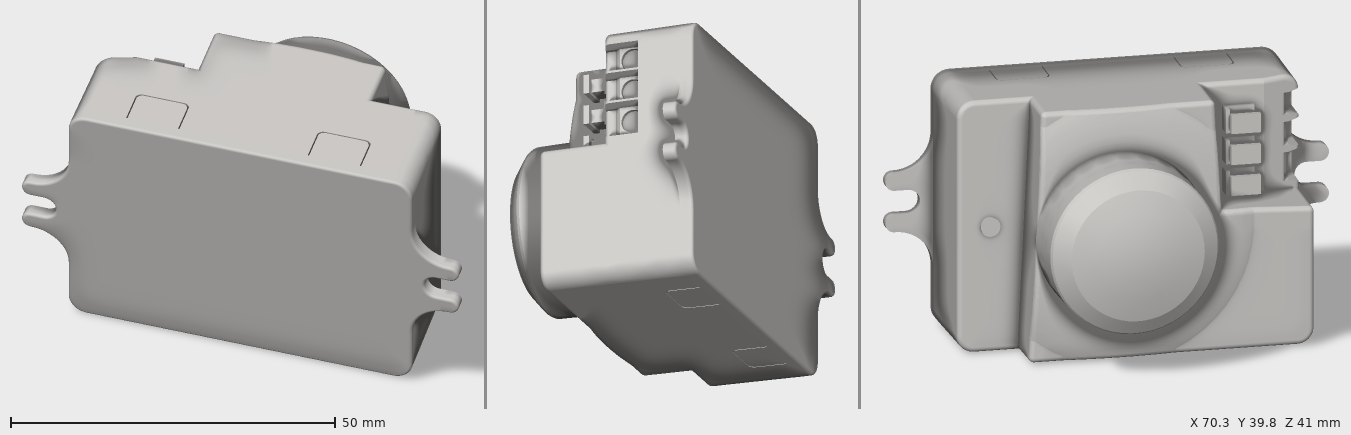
import cadquery as cq
import math


overall_width = 70.3
body_width = 55.25
body_height = 41.0
corner_radius = 2.95
base_thickness = 2.1
base_edge_round = 0.5
flare_radius = 5.9
prong_radius = 1.4
slot_height = 3.9
slot_depth = 5.5

tab_width = 8.15
tab_top = 7.8
tab_offset = 14.6
tab_corner_radius = 1.0
tab_depth = 1.4
tab_gap = 0.2

housing_draft = 0.9
rim_round = 0.85
sharp_angle = 40.0
probe_distance = 0.035
crown_top = 26.6
crown_flat_radius = 14.75
crown_mid_radius = 18.6
crown_mid_y = 26.15
crown_rim_radius = 21.3
crown_rim_y = 25.45

lens_x = 3.65
lens_base_radius = 13.5
lens_radius = 13.35
lens_wall_top = 35.35
lens_shoulder = 35.85
lens_shoulder_radius = 13.1
lens_cap_radius = 10.55
lens_cap_y = 37.9
lens_top = 39.8

side_slant = 2.8
notch_wall_x = -12.45
notch_floor_z = 2.7
notch_seat_y = 16.45
ramp_start_x = -21.45
ramp_drop = 2.05
step_wall_x = 16.95
step_y = 17.4

terminal_pitch = 5.0
terminal_count = 3
terminal_first_z = 4.7
bracket_right_x = -14.75
bracket_thickness = 0.6
bracket_top = 19.05
bracket_height = 3.8
foot_left_x = -19.7
foot_top = 17.5
stem_left_x = -18.8
stem_top = 20.0
stem_height = 2.1
head_left_x = -19.9
head_width = 4.7
head_top = 20.9
head_height = 3.0
opening_floor_y = 9.0
opening_floor_rise = 0.4
opening_ledge_y = 12.7
opening_ledge_rise = 0.85
opening_ledge = 0.7
opening_back_x = -25.0
opening_round = 0.7
opening_flare = 0.4
opening_spans = [(3.2, 7.9), (9.0, 12.8), (13.9, 17.5)]
wire_hole_radius = 1.8
wire_hole_y = 10.6
wire_hole_rise = 0.8
wire_hole_depth = 0.6

indicator_x = 22.3
indicator_radius = 1.55
indicator_top = 18.0

half_width = body_width / 2
half_height = body_height / 2
slot_half_height = slot_height / 2
ramp_angle = math.atan2(ramp_drop, half_width + ramp_start_x)
FACE_UP = cq.Plane(origin=(0, 0, 0), xDir=(-1, 0, 0), normal=(0, 1, 0))
beyond = 42.2


def block(x0, x1, y0, y1, z0, z1):
    """Box between the given limits."""
    return cq.Workplane("XY").box(x1 - x0, y1 - y0, z1 - z0, centered=False).translate((x0, y0, z0))


def mounting_ear():
    """The -X ear: a forked flange that flares out of the side of the plate."""
    tip_x = overall_width / 2
    prong_z = slot_half_height + prong_radius
    ear_half = prong_z + prong_radius
    flare_x = half_width + flare_radius
    flare_z = ear_half + flare_radius
    flare_mid = flare_radius * math.sqrt(0.5)
    return (
        cq.Workplane(FACE_UP)
        .moveTo(half_width - corner_radius, -flare_z)
        .lineTo(half_width, -flare_z)
        .threePointArc((flare_x - flare_mid, -flare_z + flare_mid), (flare_x, -ear_half))
        .lineTo(tip_x - prong_radius, -ear_half)
        .threePointArc((tip_x, -prong_z), (tip_x - prong_radius, -slot_half_height))
        .lineTo(tip_x - slot_depth + slot_half_height, -slot_half_height)
        .threePointArc((tip_x - slot_depth, 0), (tip_x - slot_depth + slot_half_height, slot_half_height))
        .lineTo(tip_x - prong_radius, slot_half_height)
        .threePointArc((tip_x, prong_z), (tip_x - prong_radius, ear_half))
        .lineTo(flare_x, ear_half)
        .threePointArc((flare_x - flare_mid, flare_z - flare_mid), (half_width, flare_z))
        .lineTo(half_width - corner_radius, flare_z)
        .close()
        .extrude(base_thickness)
    )


def housing_blank():
    """Drafted block with rounded corners, before its crown and cutouts."""
    outline = cq.Sketch().rect(body_width, body_height).vertices().fillet(corner_radius)
    return (
        cq.Workplane(FACE_UP)
        .workplane(offset=base_thickness)
        .placeSketch(outline)
        .extrude(crown_top - base_thickness, taper=housing_draft)
    )


def tab_prisms(clearance):
    """Four round-topped prisms at the +Z and -Z sides, grown by the clearance."""
    prisms = cq.Workplane("XY")
    depth = tab_depth + clearance
    width = tab_width + 2 * clearance
    top = tab_top + clearance
    for side in (-1, 1):
        for offset in (-tab_offset, tab_offset):
            z_mid = side * half_height
            prisms = prisms.add(
                block(-width / 2, width / 2, base_thickness, top, -depth, depth)
                .edges("|Z and >Y")
                .fillet(tab_corner_radius)
                .translate((offset, 0, z_mid))
            )
    return prisms.combine()


def make_base(blank):
    """Plate with two forked ears and the four snap tabs, flush with the housing sides."""
    outline = cq.Sketch().rect(body_width, body_height).vertices().fillet(corner_radius)
    plate = cq.Workplane(FACE_UP).placeSketch(outline).extrude(base_thickness)
    ear = mounting_ear()
    plate = plate.union(ear).union(ear.mirror("YZ"))
    plate = plate.faces("<Y").edges().fillet(base_edge_round)
    return plate.union(blank.intersect(tab_prisms(0)))


def crown_envelope():
    """Revolved envelope: a flat seat for the lens that falls away to a lower rim."""
    return (
        cq.Workplane("XY")
        .lineTo(beyond, 0)
        .lineTo(beyond, crown_rim_y)
        .lineTo(crown_rim_radius, crown_rim_y)
        .threePointArc((crown_mid_radius, crown_mid_y), (crown_flat_radius, crown_top))
        .lineTo(0, crown_top)
        .close()
        .revolve(360, (0, 0, 0), (0, 1, 0))
        .translate((lens_x, 0, 0))
    )


def notch_cutter():
    """Upper -X corner: slanted walls in plan, and a seat that ends in a ramp down to the side."""
    slant = math.tan(math.radians(side_slant))
    ramp_slope = math.tan(ramp_angle)
    plan = (
        cq.Workplane(FACE_UP)
        .moveTo(-notch_wall_x, notch_floor_z)
        .lineTo(beyond, notch_floor_z - (beyond + notch_wall_x) * slant)
        .lineTo(beyond, beyond)
        .lineTo(-notch_wall_x - (beyond - notch_floor_z) * slant, beyond)
        .close()
        .extrude(beyond)
    )
    profile = (
        cq.Workplane("XY")
        .moveTo(0, beyond)
        .lineTo(0, notch_seat_y)
        .lineTo(ramp_start_x, notch_seat_y)
        .lineTo(-beyond, notch_seat_y - (beyond + ramp_start_x) * ramp_slope)
        .lineTo(-beyond, beyond)
        .close()
        .extrude(beyond, both=True)
    )
    return plan.intersect(profile)


def step_cutter():
    """+X side step with a slanted wall, open to +Y."""
    slant = math.tan(math.radians(side_slant))
    return (
        cq.Workplane(FACE_UP)
        .workplane(offset=step_y)
        .moveTo(-step_wall_x - beyond * slant, -beyond)
        .lineTo(-step_wall_x + beyond * slant, beyond)
        .lineTo(-beyond, beyond)
        .lineTo(-beyond, -beyond)
        .close()
        .extrude(beyond)
    )


def opening_cutter(z_low, z_high):
    """Wire opening: a flared pocket in the -X side with a sloped ledge, running out through the ramp."""
    front_x = opening_back_x - opening_ledge
    round_x = opening_back_x + opening_round
    ramp_y = notch_seat_y - (ramp_start_x - round_x) * math.tan(ramp_angle)
    round_y = ramp_y - opening_round / math.cos(ramp_angle)
    profile = (
        cq.Workplane("XY")
        .moveTo(-beyond, opening_floor_y)
        .lineTo(-half_width, opening_floor_y)
        .lineTo(front_x, opening_floor_y + opening_floor_rise)
        .lineTo(front_x, opening_ledge_y)
        .lineTo(opening_back_x, opening_ledge_y + opening_ledge_rise)
        .lineTo(opening_back_x, round_y)
        .radiusArc(
            (round_x - opening_round * math.sin(ramp_angle), round_y + opening_round * math.cos(ramp_angle)),
            opening_round,
        )
        .lineTo(-beyond, notch_seat_y)
        .close()
        .extrude(beyond, both=True)
    )
    plan = (
        cq.Workplane(FACE_UP)
        .moveTo(0, z_low)
        .lineTo(-front_x, z_low)
        .lineTo(half_width, z_low - opening_flare)
        .lineTo(half_width, z_high + opening_flare)
        .lineTo(-front_x, z_high)
        .lineTo(0, z_high)
        .close()
        .extrude(beyond)
    )
    return profile.intersect(plan)


def terminal_heights():
    """Z position of each terminal."""
    return [terminal_first_z + i * terminal_pitch for i in range(terminal_count)]


def wire_hole_cutter(z):
    """Blind round hole below the ledge of a wire opening."""
    front_x = opening_back_x - opening_ledge
    return (
        cq.Workplane("YZ", origin=(front_x, wire_hole_y, z + wire_hole_rise))
        .circle(wire_hole_radius)
        .extrude(wire_hole_depth)
    )


def is_sharp_rim(edge, solid):
    """True for outward edges above the base plate that turn by more than the sharpness limit."""
    middle = edge.positionAt(0.5)
    if middle.y < base_thickness + rim_round:
        return False
    normals = [face.normalAt(middle) for face in edge.ancestors(solid, "Face")]
    if len(normals) != 2 or normals[0].getAngle(normals[1]) < math.radians(sharp_angle):
        return False
    probe = middle + (normals[0] - normals[1]) * probe_distance
    return not solid.isInside(probe)


def make_housing(blank):
    """Crowned block with rounded rims, wire openings and recesses for the snap tabs."""
    housing = blank.intersect(crown_envelope()).cut(notch_cutter()).cut(step_cutter()).val()
    rim_edges = [edge for edge in housing.Edges() if is_sharp_rim(edge, housing)]
    housing = cq.Workplane(housing.fillet(rim_round, rim_edges))
    for z_low, z_high in opening_spans:
        housing = housing.cut(opening_cutter(z_low, z_high))
    for z in terminal_heights():
        housing = housing.cut(wire_hole_cutter(z))
    return housing.cut(tab_prisms(tab_gap))


def make_lens():
    """Slightly tapered barrel with a bevelled shoulder and a shallow domed cap."""
    cap_rise = lens_top - lens_cap_y
    cap_sphere = (lens_cap_radius**2 + cap_rise**2) / (2 * cap_rise)
    return (
        cq.Workplane("XY")
        .moveTo(0, crown_top)
        .lineTo(-lens_base_radius, crown_top)
        .lineTo(-lens_radius, lens_wall_top)
        .lineTo(-lens_shoulder_radius, lens_shoulder)
        .lineTo(-lens_cap_radius, lens_cap_y)
        .radiusArc((0, lens_top), cap_sphere)
        .close()
        .revolve(360, (0, 0, 0), (0, 1, 0))
        .translate((lens_x, 0, 0))
    )


def make_terminal(z):
    """Screw terminal on the notch seat: a foot and bracket, a stem and a flat head."""

    def slab(x0, x1, y0, y1, height):
        return block(x0, x1, y0, y1, z - height / 2, z + height / 2)

    bracket_left_x = bracket_right_x - bracket_thickness
    bracket = slab(bracket_left_x, bracket_right_x, notch_seat_y, bracket_top, bracket_height)
    foot = slab(foot_left_x, bracket_left_x, notch_seat_y, foot_top, bracket_height)
    stem = slab(stem_left_x, bracket_left_x, foot_top, stem_top, stem_height)
    head = slab(head_left_x, head_left_x + head_width, stem_top, head_top, head_height)
    return bracket.union(foot).union(stem).union(head)


def make_indicator():
    """Low round button on the +X step."""
    return (
        cq.Workplane(FACE_UP)
        .workplane(offset=step_y)
        .center(-indicator_x, 0)
        .circle(indicator_radius)
        .extrude(indicator_top - step_y)
    )


blank = housing_blank()
base = make_base(blank)
housing = make_housing(blank)
lens = make_lens()
indicator = make_indicator()
terminals = [make_terminal(z) for z in terminal_heights()]

result = cq.Compound.makeCompound(
    [base.val(), housing.val(), lens.val(), indicator.val(), *[terminal.val() for terminal in terminals]]
)